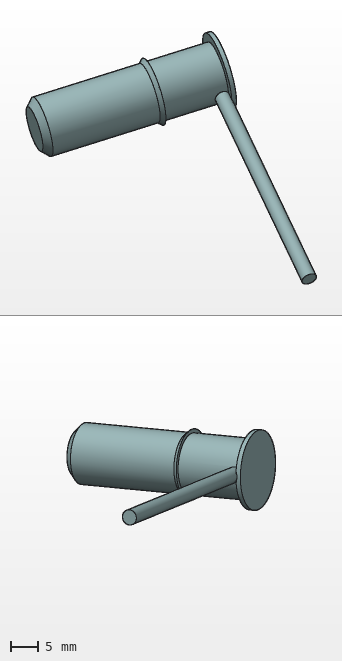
import cadquery as cq

overall_length = 57.45
overall_depth = 37.0

flange_radius = 7.45
flange_thickness = 0.9
body_radius = 5.75
nose_chamfer = 1.45

ridge_radius = 6.5
ridge_start = 13.55
ridge_length = 0.85

wire_diameter = 2.9
wire_offset = 2.1
wire_tip_x = overall_length - flange_radius


def make_body():
    """Revolve the flange, barrel, ridge and chamfered nose as one profile."""
    nose_radius = body_radius - nose_chamfer
    profile = [
        (0, 0),
        (flange_radius, 0),
        (flange_radius, -flange_thickness),
        (body_radius, -flange_thickness),
        (body_radius, -ridge_start),
        (ridge_radius, -ridge_start),
        (body_radius, -ridge_start - ridge_length),
        (body_radius, -overall_depth + nose_chamfer),
        (nose_radius, -overall_depth),
        (0, -overall_depth),
    ]
    return cq.Workplane("XY").polyline(profile).close().revolve(360, (0, 0), (0, 1))


def make_wire():
    """Round wire running from the body axis to its free end."""
    return (
        cq.Workplane("YZ")
        .center(-wire_offset, 0)
        .circle(wire_diameter / 2)
        .extrude(wire_tip_x)
    )


result = make_body().union(make_wire())